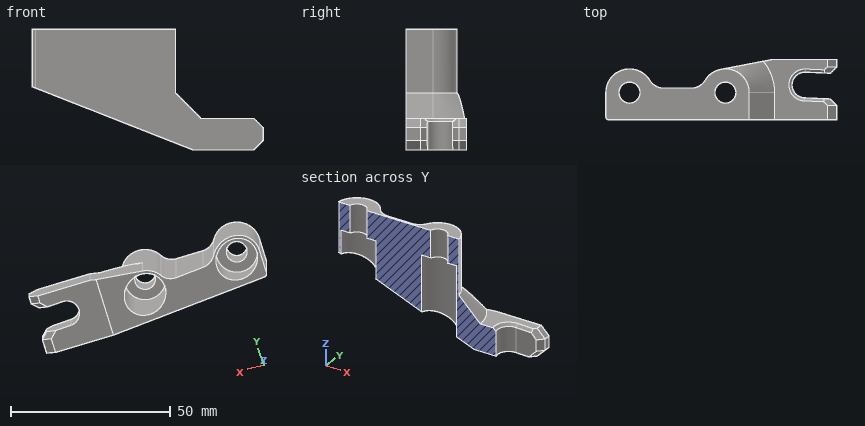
import cadquery as cq
import math

length = 72.5
depth = 19.0
height = 38.0

boss_radius = 7.5
boss_y = 8.55
left_boss_x = boss_radius
right_boss_x = 37.55
block_end_x = right_boss_x + boss_radius
waist_y = 10.0
waist_fillet = 5.0
corner_fillet = 1.0
hole_diameter = 6.5
counterbore_diameter = 13.05
seat_height = 28.0

slope_start_z = 19.9
slope_end_x = 50.5
arm_thickness = 10.0
flare = 8.0
flare_top_z = arm_thickness + flare
end_chamfer = 3.0

arm_corner_x = 52.35
slot_x = 62.5
slot_y = 10.95
slot_radius = 4.0
slot_tilt = -2.5
slot_edge_chamfer = 1.0
mouth_y = 10.6
mouth_half_width = 6.0

overcut = 1.45


def block():
    """Full-height block whose bosses blend into a straight waist."""
    reach = boss_radius + waist_fillet
    fillet_y = waist_y + waist_fillet
    fillet_dx = math.sqrt(reach**2 - (fillet_y - boss_y) ** 2)
    fraction = boss_radius / reach
    join_dx = fillet_dx * fraction
    join_y = boss_y + (fillet_y - boss_y) * fraction
    join_angle = math.atan2(fillet_y - boss_y, fillet_dx)
    boss_mid = (math.pi + join_angle) / 2
    fillet_mid = (math.pi / 2 - join_angle) / 2
    boss_mid_dx = boss_radius * math.cos(boss_mid)
    boss_mid_y = boss_y + boss_radius * math.sin(boss_mid)
    fillet_mid_dx = fillet_dx - waist_fillet * math.sin(fillet_mid)
    fillet_mid_y = fillet_y - waist_fillet * math.cos(fillet_mid)
    return (
        cq.Workplane("XY")
        .moveTo(0, 0)
        .lineTo(block_end_x, 0)
        .lineTo(block_end_x, boss_y)
        .threePointArc((right_boss_x - boss_mid_dx, boss_mid_y), (right_boss_x - join_dx, join_y))
        .threePointArc((right_boss_x - fillet_mid_dx, fillet_mid_y), (right_boss_x - fillet_dx, waist_y))
        .lineTo(left_boss_x + fillet_dx, waist_y)
        .threePointArc((left_boss_x + fillet_mid_dx, fillet_mid_y), (left_boss_x + join_dx, join_y))
        .threePointArc((left_boss_x + boss_mid_dx, boss_mid_y), (0, boss_y))
        .close()
        .extrude(height)
        .edges(cq.selectors.NearestToPointSelector((0, 0, height / 2)))
        .fillet(corner_fillet)
    )


def arm():
    """Flat arm whose back wall is tangent to the right boss, with a flared root."""
    dx = arm_corner_x - right_boss_x
    dy = depth - boss_y
    tangent_angle = math.atan2(dy, dx) + math.acos(boss_radius / math.hypot(dx, dy))
    tangent_point = (
        right_boss_x + boss_radius * math.cos(tangent_angle),
        boss_y + boss_radius * math.sin(tangent_angle),
    )
    plan = (
        cq.Workplane("XY")
        .polyline([
            (right_boss_x, 0),
            (length, 0),
            (length, depth),
            (arm_corner_x, depth),
            tangent_point,
            (right_boss_x, boss_y),
        ])
        .close()
    )
    root_cone = (
        cq.Workplane("XY", origin=(right_boss_x, boss_y, arm_thickness))
        .circle(boss_radius + flare)
        .workplane(offset=flare)
        .circle(boss_radius)
        .loft()
    )
    root_ramp = (
        cq.Workplane("XZ")
        .polyline([
            (right_boss_x, arm_thickness),
            (block_end_x + flare, arm_thickness),
            (block_end_x, flare_top_z),
            (right_boss_x, flare_top_z),
        ])
        .close()
        .extrude(-boss_y)
    )
    back_half = cq.Workplane("XY").box(length, depth, height, centered=False).translate((0, boss_y, 0))
    slab = cq.Workplane("XY").box(length, depth, arm_thickness, centered=False)
    limits = root_cone.intersect(back_half).union(root_ramp).union(slab)
    return plan.extrude(flare_top_z).intersect(limits)


def side_envelope():
    """Sloping underside and chamfered arm tip, across the full depth."""
    return (
        cq.Workplane("XZ")
        .polyline([
            (0, slope_start_z),
            (slope_end_x, 0),
            (length - end_chamfer, 0),
            (length, end_chamfer),
            (length, arm_thickness - end_chamfer),
            (length - end_chamfer, arm_thickness),
            (length - end_chamfer, height),
            (0, height),
        ])
        .close()
        .extrude(-depth)
    )


def screw_hole(x):
    """Through hole counterbored from the underside."""
    base = cq.Workplane("XY").center(x, boss_y)
    return base.circle(hole_diameter / 2).extrude(height).union(
        base.circle(counterbore_diameter / 2).extrude(seat_height)
    )


def slot_plan(plane, radius):
    """Round-ended slot starting at the slot centre and running past the arm tip."""
    run = 2 * (length - slot_x)
    return (
        plane.moveTo(0, radius)
        .threePointArc((-radius, 0), (0, -radius))
        .lineTo(run, -radius)
        .lineTo(run, radius)
        .close()
    )


def fork_slot():
    """Tilted slot with a 45-degree chamfer along its upper edge."""
    bottom = cq.Workplane("XY")
    top = cq.Workplane("XY", origin=(0, 0, arm_thickness - slot_edge_chamfer))
    slot = slot_plan(bottom, slot_radius).extrude(arm_thickness)
    rim = slot_plan(top, slot_radius).extrude(slot_edge_chamfer, taper=-45)
    return slot.union(rim).rotate((0, 0, 0), (0, 0, 1), slot_tilt).translate((slot_x, slot_y, 0))


def mouth_section(tip_x, z):
    """V-shaped lead-in opening at 45 degrees towards the arm tip."""
    half_width = mouth_half_width + overcut
    return cq.Wire.makePolygon(
        [
            cq.Vector(tip_x - mouth_half_width, mouth_y, z),
            cq.Vector(tip_x + overcut, mouth_y - half_width, z),
            cq.Vector(tip_x + overcut, mouth_y + half_width, z),
        ],
        close=True,
    )


def fork_mouth():
    """Lead-in that follows the chamfered tip at every height."""
    sections = [
        mouth_section(length - end_chamfer, 0),
        mouth_section(length, end_chamfer),
        mouth_section(length, arm_thickness - end_chamfer),
        mouth_section(length - end_chamfer, arm_thickness),
    ]
    return cq.Workplane(cq.Solid.makeLoft(sections, True))


result = block().union(arm()).intersect(side_envelope())
for boss_x in (left_boss_x, right_boss_x):
    result = result.cut(screw_hole(boss_x))
result = result.cut(fork_slot()).cut(fork_mouth())